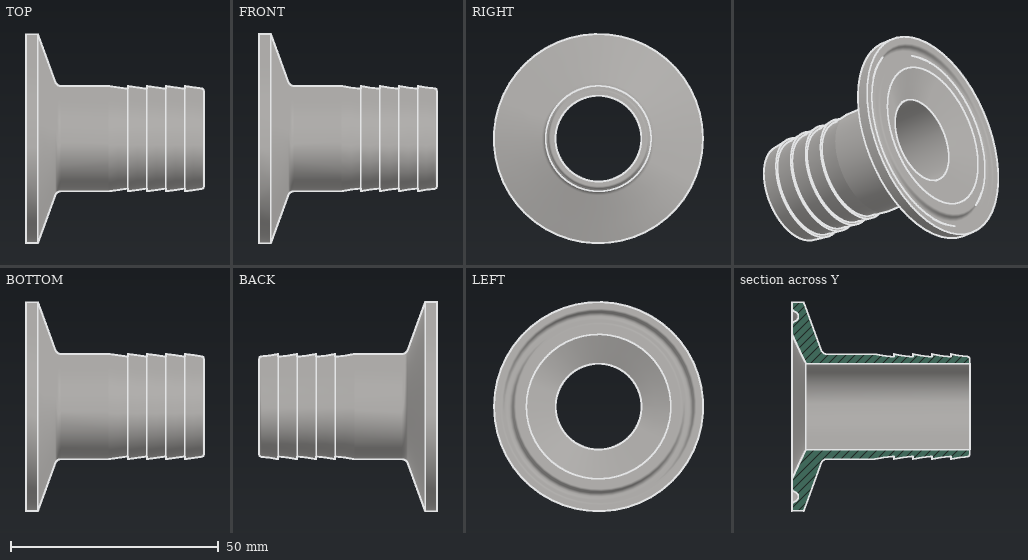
import cadquery as cq
import math

length = 42.85
flange_radius = 25.2
flange_rim_width = 2.85
flange_back_angle = math.radians(20)

neck_radius = 12.7
neck_fillet = 1.4
barb_count = 5
barb_pitch = 4.6
barb_drop = 0.65
tip_fillet = 0.7

bore_radius = 20.6 / 2
entry_radius = 17.4
entry_depth = 3.35

groove_center_radius = 21.7
groove_half_width = 3.9 / 2
groove_wall_angle = math.radians(65)
groove_bottom_round = 1.15
groove_lip_round = 0.8


def revolve_about_x(profile):
    """Turn a closed half profile, drawn as (x, radius), about the X axis."""
    return profile.revolve(360, (0, 0, 0), (1, 0, 0))


def make_outer_body():
    """Clamp flange, tapered flange back, neck and barbs as one solid of revolution."""
    taper_length = (flange_radius - neck_radius) * math.tan(flange_back_angle)
    taper_end = flange_rim_width + taper_length
    turn_angle = math.pi / 2 - flange_back_angle
    tangent_length = neck_fillet * math.tan(turn_angle / 2)
    fillet_start = (
        taper_end - tangent_length * math.sin(flange_back_angle),
        neck_radius + tangent_length * math.cos(flange_back_angle),
    )
    fillet_end = (taper_end + tangent_length, neck_radius)
    fillet_middle = (
        fillet_end[0] - neck_fillet * math.sin(turn_angle / 2),
        neck_radius + neck_fillet * (1 - math.cos(turn_angle / 2)),
    )

    profile = (
        cq.Workplane("XY")
        .lineTo(0, flange_radius)
        .lineTo(flange_rim_width, flange_radius)
        .lineTo(*fillet_start)
        .threePointArc(fillet_middle, fillet_end)
    )
    first_barb = length - barb_count * barb_pitch
    for index in range(barb_count):
        crest = first_barb + index * barb_pitch
        profile = profile.lineTo(crest, neck_radius)
        profile = profile.lineTo(crest + barb_pitch, neck_radius - barb_drop)
    body = revolve_about_x(profile.lineTo(length, 0).close())
    return body.faces(">X").edges().fillet(tip_fillet)


def make_bore():
    """Straight through bore with the conical entry at the clamp face."""
    profile = (
        cq.Workplane("XY")
        .lineTo(0, entry_radius)
        .lineTo(entry_depth, bore_radius)
        .lineTo(length, bore_radius)
        .lineTo(length, 0)
        .close()
    )
    return revolve_about_x(profile)


def make_gasket_groove():
    """Ring cutter whose section is symmetric about the groove centre radius."""
    sine = math.sin(groove_wall_angle)
    half_sine = math.sin(groove_wall_angle / 2)
    lip_end_depth = groove_lip_round * (1 - math.cos(groove_wall_angle))
    lip_end = groove_half_width - groove_lip_round * sine
    lip_middle_depth = groove_lip_round * (1 - math.cos(groove_wall_angle / 2))
    lip_middle = groove_half_width - groove_lip_round * half_sine
    bottom_end = groove_bottom_round * sine
    wall_end_depth = lip_end_depth + (lip_end - bottom_end) * math.tan(groove_wall_angle)
    depth = wall_end_depth + groove_bottom_round * (1 - math.cos(groove_wall_angle))

    def at(depth_in, offset):
        return depth_in, groove_center_radius + offset

    profile = (
        cq.Workplane("XY")
        .moveTo(*at(0, -groove_half_width))
        .threePointArc(at(lip_middle_depth, -lip_middle), at(lip_end_depth, -lip_end))
        .lineTo(*at(wall_end_depth, -bottom_end))
        .threePointArc(at(depth, 0), at(wall_end_depth, bottom_end))
        .lineTo(*at(lip_end_depth, lip_end))
        .threePointArc(at(lip_middle_depth, lip_middle), at(0, groove_half_width))
        .close()
    )
    return revolve_about_x(profile)


result = make_outer_body().cut(make_bore()).cut(make_gasket_groove())